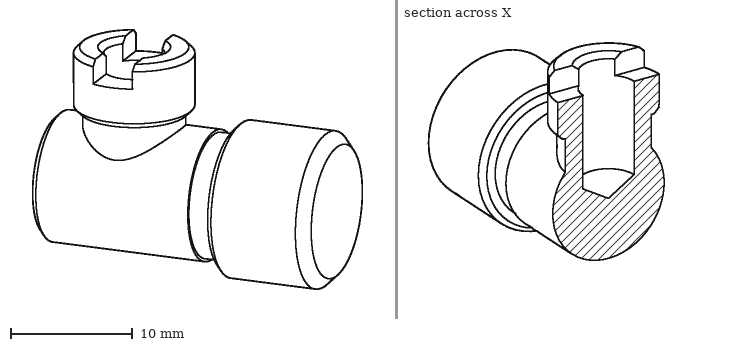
import cadquery as cq
import math

body_diameter = 11.0
neck_diameter = 10.5
head_diameter = 13.15
body_length = 14.0
neck_length = 2.0
total_length = 25.0
head_length = total_length - body_length - neck_length
edge_chamfer = 0.5
head_end_chamfer = 1.0

branch_x = 7.0
stem_diameter = 8.5
cap_diameter = 10.0
cap_top = 12.0
cap_height = 5.5
cap_bottom = cap_top - cap_height

bore_diameter = 5.0
drill_point_angle = 118.0
slot_width = 3.5
slot_depth = 2.0


def x_cylinder(diameter, start, length):
    return cq.Workplane("YZ", origin=(start, 0, 0)).circle(diameter / 2).extrude(length)


def z_cylinder(diameter, bottom, height):
    return cq.Workplane("XY", origin=(branch_x, 0, bottom)).circle(diameter / 2).extrude(height)


def make_body():
    barrel = x_cylinder(body_diameter, 0, body_length).faces("<X").chamfer(edge_chamfer)
    neck = x_cylinder(neck_diameter, body_length, neck_length)
    head = x_cylinder(head_diameter, body_length + neck_length, head_length)
    head = head.faces("<X").chamfer(edge_chamfer)
    head = head.faces(">X").chamfer(head_end_chamfer)
    return barrel.union(neck).union(head)


def make_branch():
    stem = z_cylinder(stem_diameter, 0, cap_bottom)
    cap = z_cylinder(cap_diameter, cap_bottom, cap_height)
    cap = cap.faces("<Z or >Z").chamfer(edge_chamfer)
    return stem.union(cap)


def make_bore():
    radius = bore_diameter / 2
    mouth_radius = radius + edge_chamfer
    point_height = radius / math.tan(math.radians(drill_point_angle / 2))
    profile = [
        (0, 0),
        (radius, point_height),
        (radius, cap_top - edge_chamfer),
        (mouth_radius, cap_top),
        (0, cap_top),
    ]
    bore = cq.Workplane("XZ").polyline(profile).close().revolve(360, (0, 0), (0, 1))
    return bore.translate((branch_x, 0, 0))


def make_slot():
    slot = cq.Workplane("XY").box(slot_width, cap_diameter, slot_depth, centered=(True, True, False))
    return slot.translate((branch_x, 0, cap_top - slot_depth))


result = make_body().union(make_branch()).cut(make_bore()).cut(make_slot())